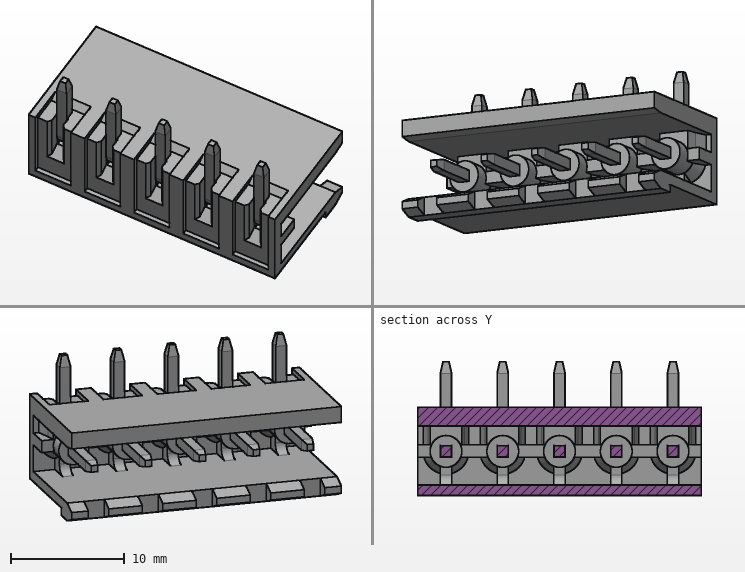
import cadquery as cq
import math


pin_count = 5
pitch = 5.0
length = pin_count * pitch
depth = 12.0
housing_top = 8.5
wall_thickness = 1.1

upper_plate_bottom = 6.83
upper_lead_in_depth = 1.2
upper_lead_in_height = 0.2
lower_plate_bottom = 0.7
lower_plate_top = 1.65
lip_taper_depth = 1.25
lip_nose_bottom = 0.5
lip_nose_top = 1.15
hook_start = 9.0
notch_width = 1.9

pin_width = 1.0
upper_tip_width = 0.55
front_tip_width = 0.6
pin_tip_length = 1.0
pin_top = 12.5
pin_front_end = 10.8
pin_axis_y = 2.0
pin_axis_z = 4.6
bend_inner_radius = 0.3

boss_radius = 1.4
boss_end = 4.95
tower_end = 3.42
tower_flare_start = 2.37
tower_half_width = 1.4
tower_waist_half_width = 1.6
tower_base_half_width = 2.0
gusset_width = 1.0
gusset_fillet = 0.9
web_bottom = 4.1
web_top = 5.2

pocket_width = 3.6
pocket_recess = 0.45
pocket_bottom = 1.5
pocket_ramp_start = 2.8
pocket_ramp_end = 3.55
slot_width = 1.15
slot_mouth_width = 1.75
slot_flare_depth = 0.35
slot_clearance_end = 1.7
slot_mouth_bottom = 3.45

pin_half = pin_width / 2
pin_underside = pin_axis_z - pin_half
pin_back = pin_axis_y - pin_half
pin_front = pin_axis_y + pin_half
pin_positions = [pitch * (i + 0.5) for i in range(pin_count)]


def side_profile(start_x):
    """Sketch plane with local (Y, Z) axes, extruding toward +X from start_x."""
    return cq.Workplane("YZ", origin=(start_x, 0, 0))


def back_profile(y, x, z):
    """Sketch plane centered on (x, z), extruding toward +Y from y."""
    return cq.Workplane(cq.Plane(origin=(x, y, z), xDir=(-1, 0, 0), normal=(0, 1, 0)))


def make_shell():
    """C-shaped housing section with a hooked lip on the lower plate."""
    lip_taper_start = depth - lip_taper_depth
    return (
        side_profile(0)
        .moveTo(0, lower_plate_bottom)
        .lineTo(hook_start, lower_plate_bottom)
        .lineTo(hook_start, 0)
        .lineTo(lip_taper_start, 0)
        .lineTo(depth, lip_nose_bottom)
        .lineTo(depth, lip_nose_top)
        .lineTo(lip_taper_start, lower_plate_top)
        .lineTo(wall_thickness, lower_plate_top)
        .lineTo(wall_thickness, upper_plate_bottom)
        .lineTo(depth - upper_lead_in_depth, upper_plate_bottom)
        .lineTo(depth, upper_plate_bottom + upper_lead_in_height)
        .lineTo(depth, housing_top)
        .lineTo(0, housing_top)
        .close()
        .extrude(length)
    )


def make_web():
    """Web along the inside of the back wall, joining the towers."""
    return (
        cq.Workplane("XY", origin=(0, wall_thickness, web_bottom))
        .box(length, tower_end - wall_thickness, web_top - web_bottom, centered=False)
    )


def make_tower(x):
    """Pin tower: flared block up to the upper plate, round boss, and gusset to the lower plate."""
    block = (
        cq.Workplane("XY", origin=(x, 0, pin_axis_z))
        .moveTo(-tower_base_half_width, wall_thickness)
        .lineTo(-tower_waist_half_width, tower_flare_start)
        .lineTo(-tower_half_width, tower_end)
        .lineTo(tower_half_width, tower_end)
        .lineTo(tower_waist_half_width, tower_flare_start)
        .lineTo(tower_base_half_width, wall_thickness)
        .close()
        .extrude(upper_plate_bottom - pin_axis_z)
    )
    boss = (
        back_profile(wall_thickness, x, pin_axis_z)
        .circle(boss_radius)
        .extrude(boss_end - wall_thickness)
    )
    flare = (
        back_profile(wall_thickness, x, pin_axis_z)
        .circle(tower_base_half_width)
        .workplane(offset=tower_flare_start - wall_thickness)
        .circle(boss_radius)
        .loft()
    )
    gusset = (
        side_profile(x - gusset_width / 2)
        .moveTo(wall_thickness, lower_plate_top)
        .lineTo(tower_flare_start + gusset_fillet, lower_plate_top)
        .radiusArc((tower_flare_start, lower_plate_top + gusset_fillet), gusset_fillet)
        .lineTo(tower_flare_start, pin_axis_z)
        .lineTo(wall_thickness, pin_axis_z)
        .close()
        .extrude(gusset_width)
    )
    return block.union(boss).union(flare).union(gusset)


def make_pocket(x):
    """Shallow recess wrapping from the back wall onto the top face, ending in a ramp."""
    floor = housing_top - pocket_recess
    return (
        side_profile(x - pocket_width / 2)
        .moveTo(0, pocket_bottom)
        .lineTo(pocket_recess, pocket_bottom)
        .lineTo(pocket_recess, floor)
        .lineTo(pocket_ramp_start, floor)
        .lineTo(pocket_ramp_end, housing_top)
        .lineTo(0, housing_top)
        .close()
        .extrude(pocket_width)
    )


def make_slot(x):
    """Pin slot with a flared mouth, a rising bottom and a close fit around the bend."""
    flare_end = pocket_recess + slot_flare_depth
    plan = (
        cq.Workplane("XY", origin=(x, 0, 0))
        .moveTo(-slot_mouth_width / 2, pocket_recess)
        .lineTo(-slot_width / 2, flare_end)
        .lineTo(-slot_width / 2, slot_clearance_end)
        .lineTo(-pin_half, slot_clearance_end)
        .lineTo(-pin_half, pin_front)
        .lineTo(pin_half, pin_front)
        .lineTo(pin_half, slot_clearance_end)
        .lineTo(slot_width / 2, slot_clearance_end)
        .lineTo(slot_width / 2, flare_end)
        .lineTo(slot_mouth_width / 2, pocket_recess)
        .close()
        .extrude(housing_top)
    )
    side = (
        side_profile(x - slot_mouth_width / 2)
        .moveTo(pocket_recess, slot_mouth_bottom)
        .lineTo(slot_clearance_end, pin_underside)
        .lineTo(pin_front, pin_underside)
        .lineTo(pin_front, housing_top)
        .lineTo(pocket_recess, housing_top)
        .close()
        .extrude(slot_mouth_width)
    )
    return plan.intersect(side)


def tip_taper(tip_width):
    """Taper angle in degrees that narrows a pin end to tip_width."""
    return math.degrees(math.atan((pin_width - tip_width) / 2 / pin_tip_length))


def make_pin(x):
    """Square pin bent at a right angle, with tapered ends."""
    bend_outer_radius = bend_inner_radius + pin_width
    bend_center_y = pin_back + bend_outer_radius
    bend_center_z = pin_underside + bend_outer_radius
    upper_shank_end = pin_top - pin_tip_length
    front_shank_end = pin_front_end - pin_tip_length

    shank = (
        side_profile(x - pin_half)
        .moveTo(pin_back, upper_shank_end)
        .lineTo(pin_back, bend_center_z)
        .radiusArc((bend_center_y, pin_underside), -bend_outer_radius)
        .lineTo(front_shank_end, pin_underside)
        .lineTo(front_shank_end, pin_underside + pin_width)
        .lineTo(bend_center_y, pin_underside + pin_width)
        .radiusArc((pin_front, bend_center_z), bend_inner_radius)
        .lineTo(pin_front, upper_shank_end)
        .close()
        .extrude(pin_width)
    )
    upper_tip = (
        cq.Workplane("XY", origin=(x, pin_axis_y, upper_shank_end))
        .rect(pin_width, pin_width)
        .extrude(pin_tip_length, taper=tip_taper(upper_tip_width))
    )
    front_tip = (
        back_profile(front_shank_end, x, pin_axis_z)
        .rect(pin_width, pin_width)
        .extrude(pin_tip_length, taper=tip_taper(front_tip_width))
    )
    return shank.union(upper_tip).union(front_tip)


def make_lip_notch(x):
    """Gap between neighbouring lead-in tongues of the lower lip."""
    return (
        cq.Workplane("XY", origin=(x, depth - lip_taper_depth, 0))
        .box(notch_width, lip_taper_depth, lower_plate_top, centered=(True, False, False))
    )


result = make_shell().union(make_web())
for pin_x in pin_positions:
    result = result.union(make_tower(pin_x))
for pin_x in pin_positions:
    result = result.cut(make_pocket(pin_x)).cut(make_slot(pin_x)).cut(make_lip_notch(pin_x))
for pin_x in pin_positions:
    result = result.union(make_pin(pin_x))